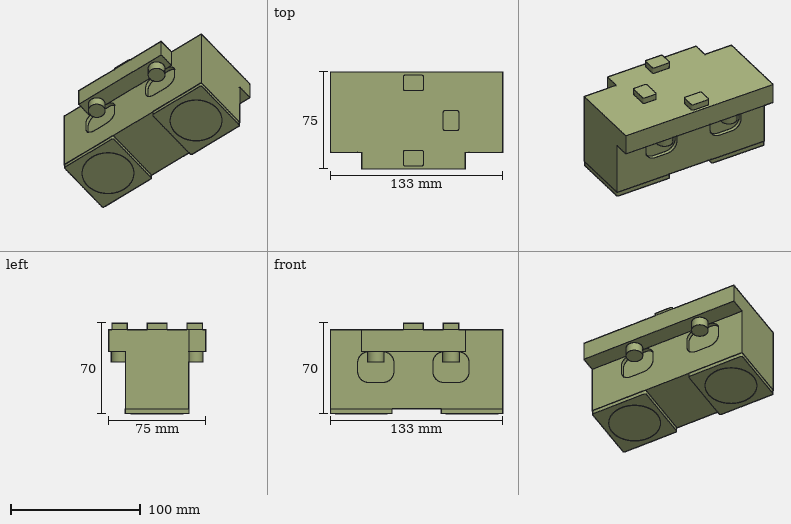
import cadquery as cq

block_length = 133.0
block_width = 49.0
block_height = 61.0

mount_x = -2.5
mount_row_y = 29.0

flange_reach = 13.0
flange_height = 17.0
front_flange_length = 80.0

peg_diameter = 13.0
peg_length = 8.0
peg_pitch = 58.0

pocket_width = 28.0
pocket_height = 23.75
pocket_radius = 8.5
pocket_depth = 3.0

key_length = 15.4
key_width = 12.0
key_height = 5.0
end_key_x = mount_x + mount_row_y

pad_length = 47.5
pad_width = 49.5
pad_height = 3.7
pad_inset = 0.05
pad_pitch = block_length - pad_length - 2 * pad_inset
corner_radius = 1.25
disc_diameter = 40.0
disc_height = 0.3


def box_on(length, width, height, x, y, z):
    """Box centred on (x, y) with its lower face at z."""
    return cq.Workplane("XY").box(length, width, height, centered=(True, True, False)).translate((x, y, z))


def make_block():
    """Block with a short front flange and a full-length back flange."""
    block = box_on(block_length, block_width, block_height, 0, 0, -block_height)
    flange_y = (block_width + flange_reach) / 2
    front = box_on(front_flange_length, flange_reach, flange_height, mount_x, -flange_y, -flange_height)
    back = box_on(block_length, flange_reach, flange_height, 0, flange_y, -flange_height)
    return block.union(front).union(back)


def make_pocket(x, side):
    """Cutter for one rounded pocket; its top edge is level with the flange underside."""
    center_y = side * (block_width - pocket_depth) / 2
    center_z = -flange_height - pocket_height / 2
    cutter = cq.Workplane("XY").box(pocket_width, pocket_depth, pocket_height)
    return cutter.edges("|Y").fillet(pocket_radius).translate((x, center_y, center_z))


def make_peg(x, side):
    """Peg hanging from the flange underside."""
    peg = cq.Workplane("XY").circle(peg_diameter / 2).extrude(-peg_length)
    return peg.translate((x, side * mount_row_y, -flange_height))


def make_key(length, width, x, y):
    """Key with rounded corners standing on the deck."""
    return box_on(length, width, key_height, x, y, 0).edges("|Z").fillet(corner_radius)


def make_foot(x):
    """Pad with rounded corners and a thin round disc under it."""
    pad_bottom = -block_height - pad_height
    pad = box_on(pad_length, pad_width, pad_height, x, 0, pad_bottom).edges("|Z").fillet(corner_radius)
    disc = cq.Workplane("XY").circle(disc_diameter / 2).extrude(-disc_height)
    return pad.union(disc.translate((x, 0, pad_bottom)))


result = make_block()

for x in (mount_x - peg_pitch / 2, mount_x + peg_pitch / 2):
    for side in (-1, 1):
        result = result.cut(make_pocket(x, side)).union(make_peg(x, side))

for side in (-1, 1):
    result = result.union(make_key(key_length, key_width, mount_x, side * mount_row_y))
    result = result.union(make_foot(side * pad_pitch / 2))
result = result.union(make_key(key_width, key_length, end_key_x, 0))